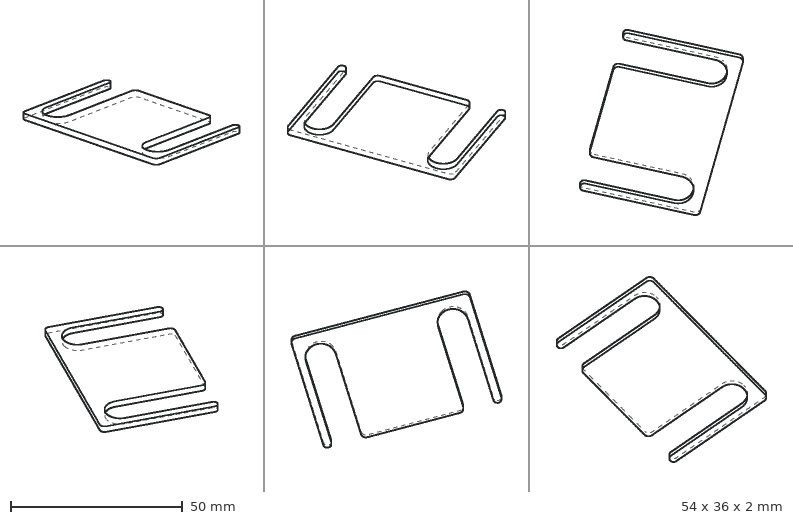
import cadquery as cq

length = 54.0
width = 36.0
thickness = 2.0
corner_radius = 1.5

prong_width = 2.5
slot_width = 9.0
slot_floor = 3.5

slot_radius = slot_width / 2
slot_center_x = length / 2 - prong_width - slot_radius
slot_center_y = slot_floor + slot_radius
tongue_width = length - 2 * (prong_width + slot_width)


def upright_block(center_x, block_width, start_y):
    """Block from start_y to the back edge, centred on center_x."""
    depth = width - start_y
    return (
        cq.Workplane("XY")
        .center(center_x, start_y + depth / 2)
        .rect(block_width, depth)
        .extrude(thickness)
    )


def slot_end(center_x):
    """Cylinder that forms the round closed end of a slot."""
    return (
        cq.Workplane("XY")
        .center(center_x, slot_center_y)
        .circle(slot_radius)
        .extrude(thickness)
    )


def prong(side):
    """Side prong with a fully rounded tip; side is -1 or 1."""
    tip_radius = prong_width / 2
    center_x = side * (length - prong_width) / 2
    tip_y = width - tip_radius
    return (
        cq.Workplane("XY")
        .moveTo(center_x - tip_radius, slot_center_y)
        .lineTo(center_x + tip_radius, slot_center_y)
        .lineTo(center_x + tip_radius, tip_y)
        .threePointArc((center_x, width), (center_x - tip_radius, tip_y))
        .close()
        .extrude(thickness)
    )


result = (
    cq.Workplane("XY")
    .center(0, slot_center_y / 2)
    .rect(length, slot_center_y)
    .extrude(thickness)
    .edges("|Z and <Y")
    .fillet(corner_radius)
)

tongue = upright_block(0, tongue_width, slot_center_y).edges("|Z and >Y").fillet(corner_radius)
result = result.union(tongue)

for side in (-1, 1):
    result = result.union(prong(side)).cut(slot_end(side * slot_center_x))

result = result.clean()